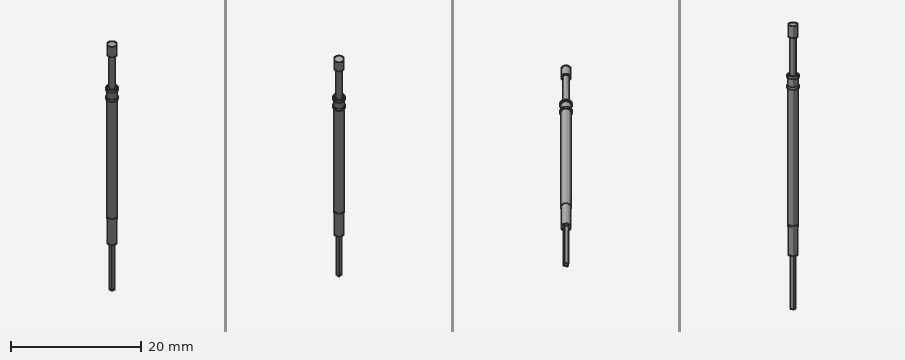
import cadquery as cq
import math

tube_dia = 1.68
bore_dia = 1.38
bead_dia = 1.93
bead_height = 0.44
bead_pitch = 1.76
shoulder_top_z = -24.92
shoulder_height = 0.4
sleeve_dia = 1.53
sleeve_bottom_z = -29.93
tail_side = 0.64

probe_tube_dia = 1.36
shaft_dia = 1.0
head_dia = 1.5
head_length = 2.0
plunger_reach = 8.37

overall_length = 47.35
tail_length = overall_length - plunger_reach + sleeve_bottom_z
bore_depth = -shoulder_top_z


def cylinder(diameter, bottom_z, top_z):
    """Solid round bar on the Z axis between two heights."""
    return cq.Workplane("XY", origin=(0, 0, bottom_z)).circle(diameter / 2).extrude(top_z - bottom_z)


def add_bead(profile, center_z):
    """Run the profile down over one rounded bead: an arc up to the crest and an arc back to the tube."""
    tube_r = tube_dia / 2
    crest_r = bead_dia / 2
    half_height = bead_height / 2
    rise = crest_r - tube_r
    arc_r = (half_height**2 + rise**2) / (2 * rise)
    half_angle = math.asin(half_height / arc_r) / 2
    middle_r = crest_r - arc_r * (1 - math.cos(half_angle))
    middle_dz = arc_r * math.sin(half_angle)
    return (
        profile.lineTo(tube_r, center_z + half_height)
        .threePointArc((middle_r, center_z + middle_dz), (crest_r, center_z))
        .threePointArc((middle_r, center_z - middle_dz), (tube_r, center_z - half_height))
    )


def make_receptacle():
    """Beaded tube with a tapered shoulder, a narrower sleeve and a square wrap tail."""
    sleeve_r = sleeve_dia / 2
    first_bead_z = -bead_height / 2
    profile = cq.Workplane("XZ").moveTo(0, 0)
    for bead_z in (first_bead_z, first_bead_z - bead_pitch):
        profile = add_bead(profile, bead_z)
    body = (
        profile.lineTo(tube_dia / 2, shoulder_top_z)
        .lineTo(sleeve_r, shoulder_top_z - shoulder_height)
        .lineTo(sleeve_r, sleeve_bottom_z)
        .lineTo(0, sleeve_bottom_z)
        .close()
        .revolve(360, (0, 0, 0), (0, 1, 0))
    )
    tail = (
        cq.Workplane("XY", origin=(0, 0, sleeve_bottom_z))
        .rect(tail_side, tail_side)
        .extrude(-tail_length)
    )
    return body.union(tail).cut(cylinder(bore_dia, -bore_depth, 0))


def make_probe():
    """Probe tube resting on the bore's floor, flush with the mouth, with the plunger standing out of it."""
    tube = cylinder(probe_tube_dia, -bore_depth, 0)
    shaft = cylinder(shaft_dia, 0, plunger_reach)
    head = cylinder(head_dia, plunger_reach - head_length, plunger_reach)
    return tube.union(shaft).union(head)


receptacle = make_receptacle()
probe = make_probe()
result = cq.Compound.makeCompound([receptacle.val(), probe.val()])